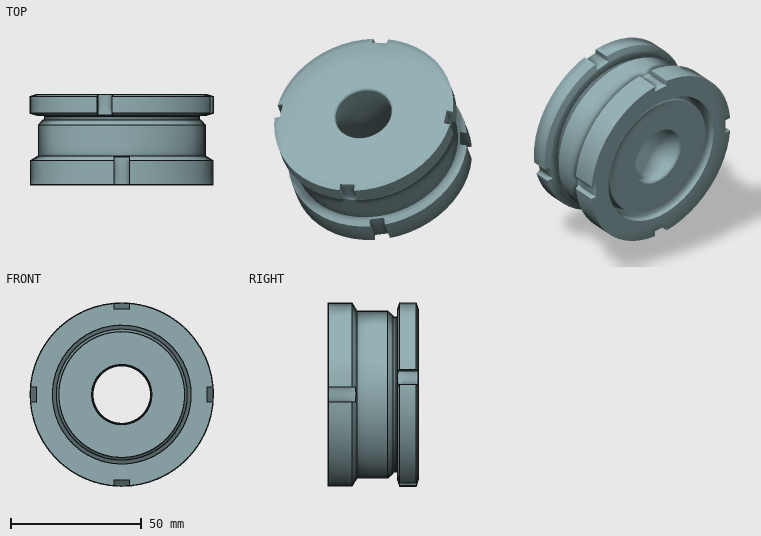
import cadquery as cq
total_length = 34.52
flange_radius = 35.0
thread_radius = 25.0

slot_count = 4
slot_width = 5.8
slot_floor_radius = 32.6

sleeve_length = 26.5
sleeve_radius = 31.9
flange_rim_width = 9.2
flange_width = 11.0
shoulder_start = 22.75
shoulder_end = 24.75
shoulder_end_radius = 30.1
neck_radius = 29.6
neck_chamfer_length = 0.5
neck_chamfer_depth = 0.2
recess_radius = 26.5
recess_depth = flange_width

core_front = 1.75
core_nose_radius = 24.0
core_nose_length = 3.75
bore_radius = 11.0
bore_chamfer = 0.5
rear_chamfer_length = 0.85
rear_chamfer_depth = 2.7
rear_slot_angle = 11.0


def revolve_about_y(points):
    """Turn a closed (radius, Y) outline around the Y axis."""
    return cq.Workplane("XY").polyline(points).close().revolve(360, (0, 0, 0), (0, 1, 0))


def wrench_slots(y_start, y_end, start_angle):
    """Ring of rectangular slot cutters that reach past the flange rim."""
    cutter_height = flange_radius
    cutter = cq.Workplane("XY").box(
        slot_width, y_end - y_start, cutter_height, centered=(True, False, False)
    ).translate((0, y_start, slot_floor_radius))
    cutters = cq.Workplane("XY")
    for index in range(slot_count):
        angle = start_angle + index * 360 / slot_count
        cutters = cutters.add(cutter.rotate((0, 0, 0), (0, 1, 0), angle))
    return cutters.combine()


def make_sleeve():
    """Slotted front flange with a necked barrel, and a recess ahead of its threaded hole."""
    body = revolve_about_y([
        (recess_radius, 0),
        (flange_radius, 0),
        (flange_radius, flange_rim_width),
        (sleeve_radius, flange_width),
        (sleeve_radius, shoulder_start),
        (shoulder_end_radius, shoulder_end),
        (neck_radius, shoulder_end),
        (neck_radius, sleeve_length - neck_chamfer_length),
        (neck_radius - neck_chamfer_depth, sleeve_length),
        (thread_radius, sleeve_length),
        (thread_radius, recess_depth),
        (recess_radius, recess_depth),
    ])
    return body.cut(wrench_slots(0, flange_width, 0))


def make_screw():
    """Bored core with a plain nose and a full thread, and a slotted flange against the sleeve end."""
    rim_edge_radius = flange_radius - rear_chamfer_depth
    nose_end = core_front + core_nose_length
    nose_chamfer = thread_radius - core_nose_radius
    body = revolve_about_y([
        (bore_radius + bore_chamfer, core_front),
        (core_nose_radius, core_front),
        (core_nose_radius, nose_end),
        (thread_radius, nose_end + nose_chamfer),
        (thread_radius, sleeve_length),
        (rim_edge_radius, sleeve_length),
        (flange_radius, sleeve_length + rear_chamfer_length),
        (flange_radius, total_length - rear_chamfer_length),
        (rim_edge_radius, total_length),
        (bore_radius + bore_chamfer, total_length),
        (bore_radius, total_length - bore_chamfer),
        (bore_radius, core_front + bore_chamfer),
    ])
    return body.cut(wrench_slots(sleeve_length, total_length, -rear_slot_angle))


sleeve = make_sleeve()
screw = make_screw()

result = cq.Compound.makeCompound([sleeve.val(), screw.val()])